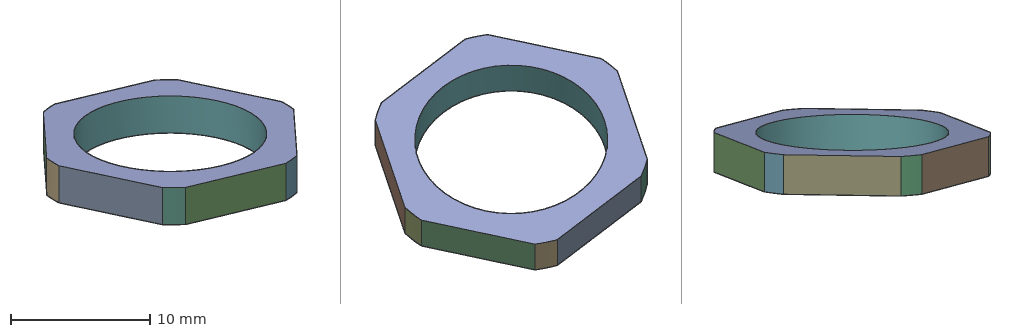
import cadquery as cq
import math

across_flats = 18.0
corner_diameter = 19.89
bore_diameter = 13.86
thickness = 2.9

across_corners = across_flats / math.cos(math.radians(30))
hexagon = (
    cq.Workplane("XY")
    .transformed(rotate=(0, 0, 90))
    .polygon(6, across_corners)
    .extrude(thickness)
)

corner_limit = cq.Workplane("XY").circle(corner_diameter / 2).extrude(thickness)

bore = cq.Workplane("XY").circle(bore_diameter / 2).extrude(thickness)

result = hexagon.intersect(corner_limit).cut(bore)